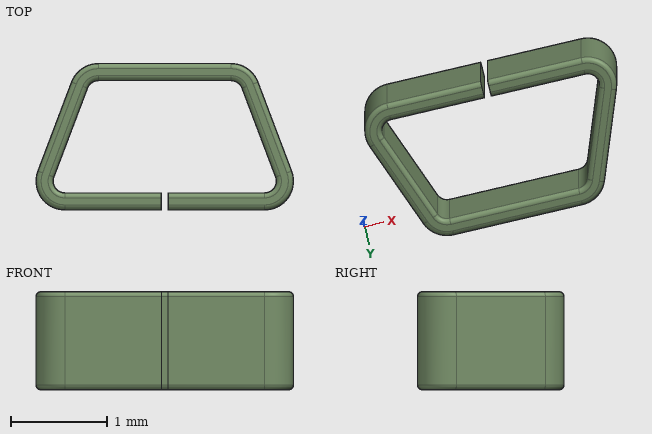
import cadquery as cq

length = 2.67
depth = 1.52
height = 1.02
outer_radius = 0.3
wall = 0.18
back_flat = 1.375
gap = 0.072
edge_radius = 0.053

inner_radius = outer_radius - wall
front_x = length / 2 - outer_radius
back_x = back_flat / 2
bend_y = depth / 2 - outer_radius
bend_centres = [
    (-front_x, -bend_y),
    (front_x, -bend_y),
    (back_x, bend_y),
    (-back_x, bend_y),
]


def rounded_trapezoid(bend_radius):
    """Solid trapezoid whose corners are bends about the common centres."""
    return (
        cq.Workplane("XY")
        .workplane(offset=-height / 2)
        .polyline(bend_centres)
        .close()
        .offset2D(bend_radius, "arc")
        .extrude(height)
    )


band = rounded_trapezoid(outer_radius).cut(rounded_trapezoid(inner_radius))
band = band.faces("<Z or >Z").edges().fillet(edge_radius)

split_depth = 2 * wall
split = cq.Workplane("XY").box(gap, split_depth, height).translate((0, -depth / 2, 0))

result = band.cut(split)